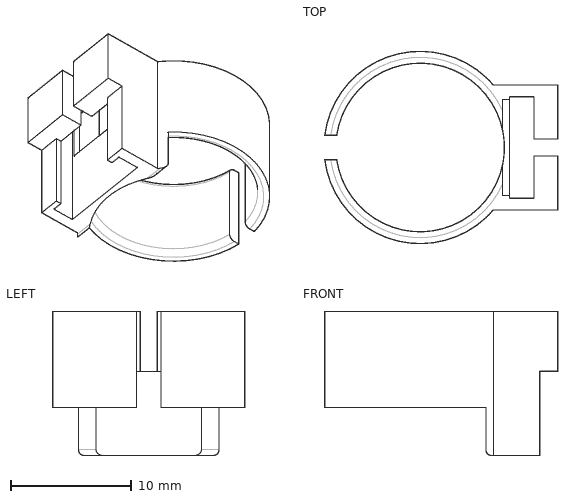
import cadquery as cq
import math

total_height = 12.0
ring_bottom = 4.0
ledge_height = 7.0

outer_radius = 8.0
bore_radius = 7.0
edge_round = 0.5
ring_gap = 2.0

block_width = 10.4
side_wall = 1.0
jaw_thickness = 2.0
jaw_gap = 1.4
back_wall = 0.5
back_window_width = 6.6
slot_length = 2.0
slot_start = 7.45
skirt_start = 5.46
inner_opening_start = 6.85
inner_opening_width = 8.0

slot_width = block_width - 2 * side_wall
slot_end = slot_start + slot_length
block_end = slot_end + jaw_thickness


def box_between(x_range, width, z_range):
    """Box symmetric about the XZ plane, spanning the given X and Z ranges."""
    x_min, x_max = x_range
    z_min, z_max = z_range
    return (
        cq.Workplane("XY")
        .box(x_max - x_min, width, z_max - z_min, centered=(False, True, False))
        .translate((x_min, 0, z_min))
    )


def cylinder(radius, z_min, z_max):
    return cq.Workplane("XY").workplane(offset=z_min).circle(radius).extrude(z_max - z_min)


def make_bore(z_min, round_bottom):
    """Solid to remove for the bore; its mouths flare so the bore edges come out rounded."""
    mouth_radius = bore_radius + edge_round
    diagonal_inset = edge_round * math.sqrt(0.5)
    diagonal_radius = mouth_radius - diagonal_inset
    if round_bottom:
        lower_tangent = z_min + edge_round
        profile = (
            cq.Workplane("XZ")
            .moveTo(0, z_min)
            .lineTo(mouth_radius, z_min)
            .threePointArc(
                (diagonal_radius, lower_tangent - diagonal_inset),
                (bore_radius, lower_tangent),
            )
        )
    else:
        profile = cq.Workplane("XZ").moveTo(0, z_min).lineTo(bore_radius, z_min)
    upper_tangent = total_height - edge_round
    return (
        profile.lineTo(bore_radius, upper_tangent)
        .threePointArc(
            (diagonal_radius, upper_tangent + diagonal_inset),
            (mouth_radius, total_height),
        )
        .lineTo(0, total_height)
        .close()
        .revolve(360, (0, 0, 0), (0, 1, 0))
    )


def make_ring():
    ring = cylinder(outer_radius, ring_bottom, total_height).cut(make_bore(ring_bottom, True))
    gap = box_between((-outer_radius, 0), ring_gap, (ring_bottom, total_height))
    return ring.cut(gap)


def make_block():
    """Block with a skirt that follows the outside of the ring down to z = 0."""
    full_height = (0, total_height)
    slab = box_between((skirt_start, block_end), 2 * outer_radius, full_height)
    slab = slab.edges("<X and <Z").fillet(edge_round)
    outline = cylinder(outer_radius, 0, total_height).union(
        box_between((0, block_end), block_width, full_height)
    )
    return slab.intersect(outline).cut(make_bore(0, False))


def cut_block_openings(body):
    body = body.cut(box_between((slot_start, slot_end), slot_width, (0, total_height)))
    body = body.cut(
        box_between((inner_opening_start, slot_start), inner_opening_width, (ledge_height, total_height))
    )
    body = body.cut(box_between((slot_end, block_end), jaw_gap, (ledge_height, total_height)))
    body = body.cut(box_between((slot_end + back_wall, block_end), block_width, (0, ledge_height)))
    return body.cut(box_between((slot_end, slot_end + back_wall), back_window_width, (0, ledge_height)))


result = cut_block_openings(make_ring().union(make_block()))